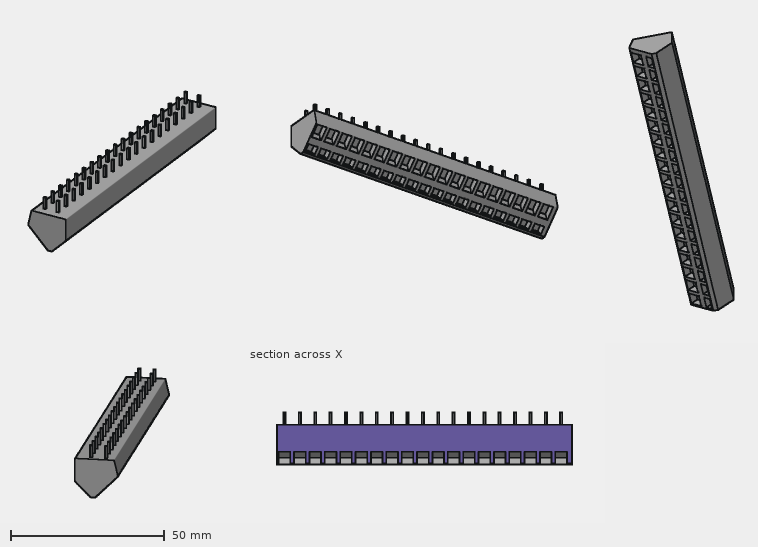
import cadquery as cq
import math

body_length = 96.0
body_height = 13.0
body_right = 14.27
top_left = 1.27
front_corner_x = -0.03
front_corner_z = 7.5
back_corner_z = 5.25
edge_radius = 0.3

pole_count = 19
pole_pitch = 5.0
end_margin = 2.46

pin_size = 0.78
pin_length = 4.0
pin_from_back = (10.0, 5.0)

pocket_depth = 2.77
pocket_width = 3.7
entry_top_z = 2.2
entry_bottom_z = 0.345
button_top_z = 7.19
button_bottom_z = 3.935
button_lip_rise = 0.405
button_face_height = 2.02
button_face_slope = math.radians(13)

face_sum = front_corner_x + front_corner_z
depth_step = pocket_depth * math.sqrt(0.5)

pole_positions = [
    body_length / 2 - end_margin - pole_pitch * i for i in range(pole_count)
]


def make_housing():
    """Five-sided bar with a narrow flat underside, rounded along its upper long edges."""
    outline = [
        (top_left, body_height),
        (body_right, body_height),
        (body_right, back_corner_z),
        (body_right - back_corner_z, 0),
        (face_sum, 0),
        (front_corner_x, front_corner_z),
    ]
    bar = cq.Workplane("XZ").polyline(outline).close().extrude(body_length / 2, both=True)
    top_edges = bar.faces(">Z").edges("|Y")
    front_edge = bar.edges("|Y").edges("<X")
    return bar.newObject(top_edges.vals() + front_edge.vals()).fillet(edge_radius)


def face_point(z):
    """Point of the 45 degree face at height z."""
    return (face_sum - z, z)


def inward(point, step):
    """Point moved square into the 45 degree face, by step along both x and z."""
    return (point[0] + step, point[1] + step)


def entry_outline():
    """Rectangular wire entry."""
    top = face_point(entry_top_z)
    bottom = face_point(entry_bottom_z)
    return [top, bottom, inward(bottom, depth_step), inward(top, depth_step)]


def button_outline():
    """Pocket whose lower wall is interrupted by a steeper button face."""
    top = face_point(button_top_z)
    bottom = face_point(button_bottom_z)
    face_start = inward(bottom, button_lip_rise)
    face_end = (
        face_start[0] + button_face_height * math.tan(button_face_slope),
        face_start[1] + button_face_height,
    )
    wall_left = depth_step - (sum(face_end) - face_sum) / 2
    return [top, bottom, face_start, face_end, inward(face_end, wall_left), inward(top, depth_step)]


def make_pockets(outline):
    """One pocket per pole, extruded along Y."""
    pocket = cq.Workplane("XZ").polyline(outline).close().extrude(pocket_width / 2, both=True).val()
    return [pocket.moved(cq.Location(cq.Vector(0, y, 0))) for y in pole_positions]


def make_pins():
    """Two rows of square pins standing on the top face."""
    centres = [(body_right - x, y) for x in pin_from_back for y in pole_positions]
    return (
        cq.Workplane("XY", origin=(0, 0, body_height))
        .pushPoints(centres)
        .rect(pin_size, pin_size)
        .extrude(pin_length)
    )


pockets = make_pockets(entry_outline()) + make_pockets(button_outline())
housing = make_housing().cut(cq.Workplane("XY").newObject([cq.Compound.makeCompound(pockets)]))
result = housing.union(make_pins())